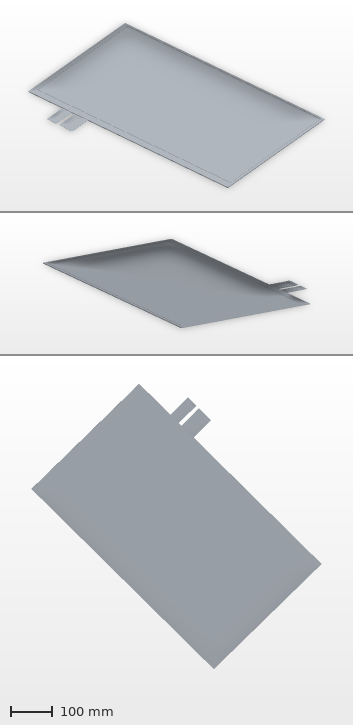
import cadquery as cq

panel_length = 620.5
panel_depth = 364.0
panel_thickness = 2.35

groove_width = 2.0
groove_depth = 0.5
margin_left = 13.0
margin_right = 5.5
margin_back = 6.0
margin_front = 17.5

tails = [(106.0, 28.5), (144.0, 41.0)]
overall_depth = 424.0
tail_reach = overall_depth - panel_depth
ribbon_bottom = 0.5
ribbon_thickness = 0.5

tip_length = 10.0
tip_overhang = 4.5
tip_thickness = 0.4


def corner_box(corner, size):
    """Box of the given size, placed by its left, front, bottom corner."""
    return cq.Workplane("XY").box(*size, centered=False).translate(corner)


def make_groove():
    """Rectangular ring to be cut from the top face around the active area."""
    length = panel_length - margin_left - margin_right
    depth = panel_depth - margin_front - margin_back
    floor = panel_thickness - groove_depth
    outer = corner_box((margin_left, margin_front, floor), (length, depth, groove_depth))
    island = corner_box(
        (margin_left + groove_width, margin_front + groove_width, floor),
        (length - 2 * groove_width, depth - 2 * groove_width, groove_depth),
    )
    return outer.cut(island)


def make_tail(left, width):
    """Thin ribbon with the contact tip resting on its free end."""
    ribbon_length = tail_reach - tip_overhang
    ribbon = corner_box(
        (left, -ribbon_length, ribbon_bottom),
        (width, ribbon_length, ribbon_thickness),
    )
    tip = corner_box(
        (left, -tail_reach, ribbon_bottom + ribbon_thickness),
        (width, tip_length, tip_thickness),
    )
    return ribbon.union(tip)


panel = corner_box((0, 0, 0), (panel_length, panel_depth, panel_thickness))
result = panel.cut(make_groove())
for tail_left, tail_width in tails:
    result = result.union(make_tail(tail_left, tail_width))